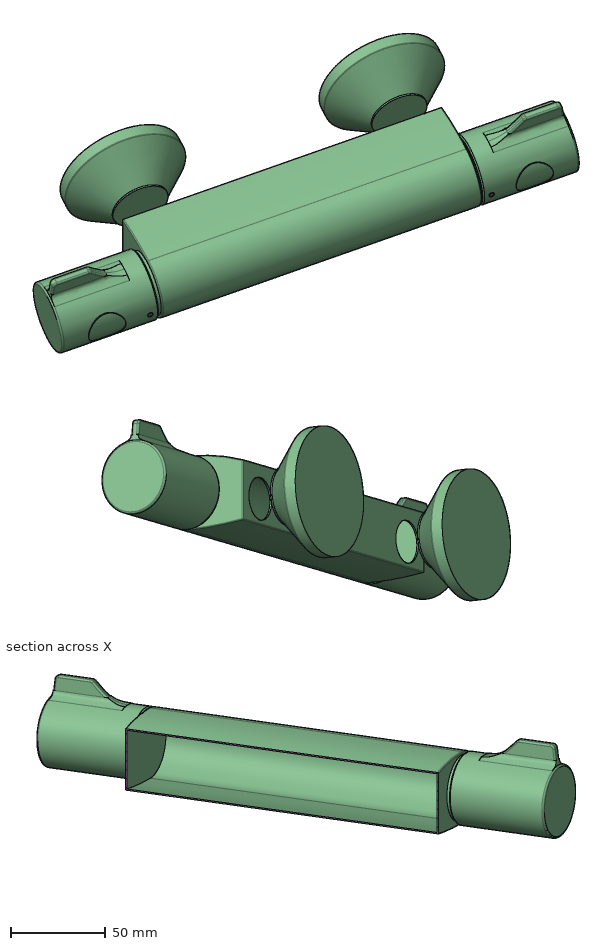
import cadquery as cq
import math


bar_radius = 20.0
overall_width = 96.84
overall_length = 299.81
inlet_spacing = 150.0
inlet_drop = 3.6

housing_length = 185.0
housing_back_x = -33.7
back_top_z = 14.8
back_bottom_z = -17.5
housing_edge_radius = 0.6
wall = 1.0
inlet_hole_diameter = 23.0

neck_diameter = 36.57
near_neck_length = 2.0
far_neck_length = 0.9
barrel_length = (overall_length - housing_length - near_neck_length - far_neck_length) / 2
end_face_diameter = 37.88
end_rounding = bar_radius - end_face_diameter / 2
inner_chamfer = 0.8

recess_depth = 0.4
thumb_recess_diameter = 21.6
thumb_recess_y = 29.9
marker_diameter = 3.0
marker_y = 4.9

fin_top_z = 31.4
fin_thickness = 4.4
fin_edge_radius = 1.0
fin_foot_half_width = 7.0
fin_foot_slope = 0.5
fin_root_z = 23.0
fin_foot_y = 11.4
fin_slope = 0.9
fin_crest_start_y = 31.8
fin_crest_end_y = 53.5
fin_corner_radius = 2.6

escutcheon_diameter = 70.0
escutcheon_small_diameter = 32.0
escutcheon_depth = 27.0
escutcheon_rim = 6.8
escutcheon_rim_rounding = 0.6
escutcheon_land = 1.0
escutcheon_back_x = bar_radius - overall_width


def back_arc_midpoint(back_z):
    """Middle of the arc that is level at X = 0 on the bar and ends on the back at height `back_z`."""
    drop = bar_radius - abs(back_z)
    radius = (housing_back_x**2 + drop**2) / (2 * drop)
    x = housing_back_x / 2
    z = bar_radius - radius + math.sqrt(radius**2 - x**2)
    return x, math.copysign(z, back_z)


def housing_section():
    return (
        cq.Workplane("XZ", origin=(0, housing_length / 2, 0))
        .moveTo(0, bar_radius)
        .threePointArc((bar_radius, 0), (0, -bar_radius))
        .threePointArc(back_arc_midpoint(back_bottom_z), (housing_back_x, back_bottom_z))
        .lineTo(housing_back_x, back_top_z)
        .threePointArc(back_arc_midpoint(back_top_z), (0, bar_radius))
        .close()
    )


def make_housing():
    outside = (
        housing_section()
        .extrude(housing_length)
        .edges("|Y and <X").fillet(housing_edge_radius)
        .faces("<Y or >Y").edges().fillet(housing_edge_radius)
    )
    cavity = (
        housing_section()
        .offset2D(-wall)
        .extrude(housing_length - 2 * wall)
        .translate((0, -wall, 0))
    )
    inlet_holes = (
        cq.Workplane("YZ", origin=(housing_back_x, 0, -inlet_drop))
        .pushPoints([(-inlet_spacing / 2, 0), (inlet_spacing / 2, 0)])
        .circle(inlet_hole_diameter / 2)
        .extrude(2 * wall)
    )
    return outside.cut(cavity).cut(inlet_holes)


def flare_bar():
    """Bar along Y whose hollow flanks lead from the barrel up to the sides of the fin."""
    foot_z = math.sqrt(bar_radius**2 - fin_foot_half_width**2)
    half = fin_thickness / 2
    rising = [(-1, fin_foot_slope), (0, 1)]
    descending = [(0, -1), (-1, -fin_foot_slope)]
    return (
        cq.Workplane("XZ", origin=(0, fin_foot_y, 0))
        .moveTo(-fin_foot_half_width, 0)
        .lineTo(fin_foot_half_width, 0)
        .lineTo(fin_foot_half_width, foot_z)
        .spline([(half, fin_root_z)], tangents=rising, includeCurrent=True)
        .lineTo(-half, fin_root_z)
        .spline([(-fin_foot_half_width, foot_z)], tangents=descending, includeCurrent=True)
        .close()
        .extrude(fin_foot_y - barrel_length)
    )


def fin_plate(thickness):
    """Plate with the side shape of the fin: a hollow slope, a level crest and a rounded outer corner."""
    outer_end_y = barrel_length - end_rounding
    return (
        cq.Workplane("YZ")
        .moveTo(fin_foot_y, 0)
        .lineTo(fin_foot_y, bar_radius)
        .spline([(fin_crest_start_y, fin_top_z)], tangents=[(1, 0), (1, fin_slope)], includeCurrent=True)
        .lineTo(fin_crest_end_y, fin_top_z)
        .lineTo(outer_end_y, bar_radius)
        .lineTo(outer_end_y, 0)
        .close()
        .extrude(thickness / 2, both=True)
        .faces(">Z").edges("|X").fillet(fin_corner_radius)
    )


def make_fin():
    flare = flare_bar().intersect(fin_plate(2 * fin_foot_half_width))
    rounded_plate = fin_plate(fin_thickness).faces(">Z").edges("|Y").fillet(fin_edge_radius)
    return flare.union(rounded_plate)


def barrel_recesses():
    cutters = (
        cq.Workplane("YZ")
        .pushPoints([(thumb_recess_y, 0)])
        .circle(thumb_recess_diameter / 2)
        .pushPoints([(marker_y, 0)])
        .circle(marker_diameter / 2)
        .extrude(2 * bar_radius)
    )
    floor = cq.Workplane("XZ").circle(bar_radius - recess_depth).extrude(-barrel_length)
    return cutters.cut(floor)


def make_handle(neck_length):
    """Handle pointing along +Y, with the inner end of its barrel at Y = 0."""
    barrel = (
        cq.Workplane("XZ")
        .circle(bar_radius)
        .extrude(-barrel_length)
        .faces(">Y").edges().fillet(end_rounding)
        .faces("<Y").edges().chamfer(inner_chamfer)
    )
    neck = cq.Workplane("XZ").circle(neck_diameter / 2).extrude(neck_length)
    return barrel.cut(barrel_recesses()).union(neck).union(make_fin())


def place_handle(neck_length):
    return make_handle(neck_length).translate((0, housing_length / 2 + neck_length, 0))


def make_escutcheon(y):
    rim_radius = escutcheon_diameter / 2
    small_radius = escutcheon_small_diameter / 2
    return (
        cq.Workplane("XY")
        .lineTo(0, rim_radius)
        .lineTo(escutcheon_rim, rim_radius)
        .lineTo(escutcheon_depth - escutcheon_land, small_radius)
        .lineTo(escutcheon_depth, small_radius)
        .lineTo(escutcheon_depth, 0)
        .close()
        .revolve(360, (0, 0, 0), (1, 0, 0))
        .edges(cq.selectors.RadiusNthSelector(-1)).edges(">X").fillet(escutcheon_rim_rounding)
        .translate((escutcheon_back_x, y, -inlet_drop))
    )


housing = make_housing()
far_handle = place_handle(far_neck_length)
near_handle = place_handle(near_neck_length).mirror("XZ")
escutcheons = [make_escutcheon(side * inlet_spacing / 2) for side in (-1, 1)]

bodies = [housing, far_handle, near_handle, *escutcheons]
result = cq.Compound.makeCompound([body.val() for body in bodies])